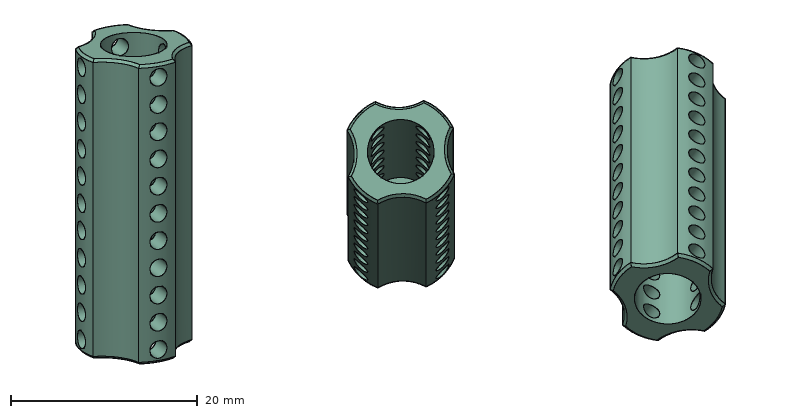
import cadquery as cq
import math

LENGTH = 34.38
OUTER_DIAMETER = 12.5
CHAMFER = 0.3

LOBE_WIDTH = 4.4
SCALLOP_FLOOR_RADIUS = 5.0

BORE_DIAMETER = 7.1
WEB_BOTTOM = 8.53
WEB_TOP = 11.05
WEB_HOLE_DIAMETER = 3.0

HOLE_DIAMETER = 2.0
HOLES_PER_ROW = 11
HOLE_END_RADIUS = 3.0
HOLE_PITCH = LENGTH / HOLES_PER_ROW

LOBE_COUNT = 4
LOBE_ANGLE = 360.0 / LOBE_COUNT
OUTER_RADIUS = OUTER_DIAMETER / 2


def make_body():
    """Chamfered bar with round lobes on the X and Y axes and scallops between them."""
    half_lobe_angle = math.degrees(math.asin(LOBE_WIDTH / 2 / OUTER_RADIUS))

    def polar(radius, degrees):
        angle = math.radians(degrees)
        return (radius * math.cos(angle), radius * math.sin(angle))

    outline = cq.Workplane("XY").moveTo(*polar(OUTER_RADIUS, -half_lobe_angle))
    for index in range(LOBE_COUNT):
        middle = index * LOBE_ANGLE
        lobe_end = polar(OUTER_RADIUS, middle + half_lobe_angle)
        next_lobe_start = polar(OUTER_RADIUS, middle + LOBE_ANGLE - half_lobe_angle)
        scallop_floor = polar(SCALLOP_FLOOR_RADIUS, middle + LOBE_ANGLE / 2)
        outline = outline.threePointArc(polar(OUTER_RADIUS, middle), lobe_end)
        outline = outline.threePointArc(scallop_floor, next_lobe_start)
    body = outline.close().extrude(LENGTH)
    return body.faces("<Z or >Z").edges().chamfer(CHAMFER)


def make_bores():
    """Wide bores from both ends, joined by a smaller hole through the web."""
    lower_bore = cq.Workplane("XY").circle(BORE_DIAMETER / 2).extrude(WEB_BOTTOM)
    upper_bore = (
        cq.Workplane("XY")
        .workplane(offset=WEB_TOP)
        .circle(BORE_DIAMETER / 2)
        .extrude(LENGTH - WEB_TOP)
    )
    web_hole = cq.Workplane("XY").circle(WEB_HOLE_DIAMETER / 2).extrude(LENGTH)
    return lower_bore.union(upper_bore).union(web_hole)


def make_hole_row():
    """Row of radial holes through the lobe on the +X axis, stopping at the round core."""
    heights = [(0, (index + 0.5) * HOLE_PITCH) for index in range(HOLES_PER_ROW)]
    holes = (
        cq.Workplane("YZ")
        .pushPoints(heights)
        .circle(HOLE_DIAMETER / 2)
        .extrude(OUTER_DIAMETER)
    )
    core = cq.Workplane("XY").circle(HOLE_END_RADIUS).extrude(LENGTH)
    return holes.cut(core)


result = make_body().cut(make_bores())
hole_row = make_hole_row()
for lobe in range(LOBE_COUNT):
    result = result.cut(hole_row.rotate((0, 0, 0), (0, 0, 1), lobe * LOBE_ANGLE))